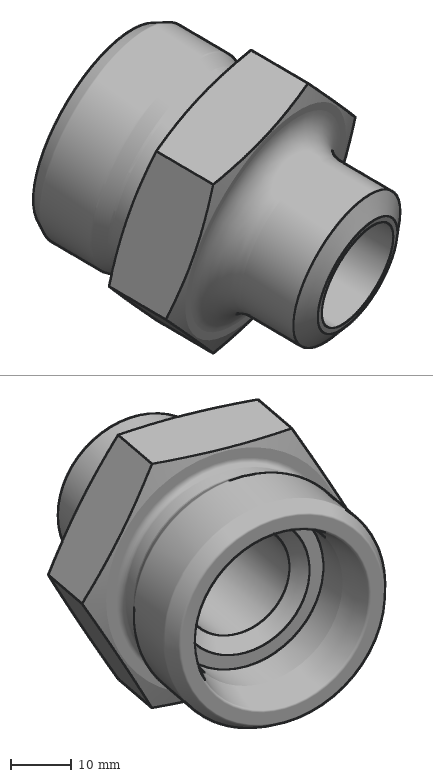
import cadquery as cq
import math

total_length = 53.0

thread_diameter = 42.0
relief_diameter = 38.9
thread_chamfer_angle = 30
thread_end = 13.3
rim_round = 0.5
crest_round = 0.7
foot_round = 1.0
relief_fillet = 1.15

hex_corner_diameter = 53.1
hex_start = 20.0
hex_end = 34.0
hex_chamfer_diameter = 45.05
hex_chamfer_angle = 15

spigot_diameter = 30.0
spigot_tip_diameter = 22.3
spigot_bevel_angle = 30
shoulder_radius = 6.0

through_diameter = 20.0
socket_diameter = 30.2
cone_mouth_diameter = 33.1
cone_half_angle = 12
mouth_round = 0.5
socket_depth = 13.5
lead_in_diameter = 24.95
lead_in_angle = 45


def tan_deg(angle):
    return math.tan(math.radians(angle))


def revolve_about_x(profile):
    """Revolve a profile drawn as (axial position, radius) about the X axis."""
    return profile.close().revolve(360, (0, 0, 0), (1, 0, 0))


def circle_at(position):
    """Select the circles lying in the plane at an axial position."""
    tolerance = 0.005
    reach = hex_corner_diameter
    return cq.selectors.BoxSelector(
        (position - tolerance, -reach, -reach),
        (position + tolerance, reach, reach),
        boundingbox=False,
    )


def make_threaded_end():
    thread_radius = thread_diameter / 2
    relief_radius = relief_diameter / 2
    chamfer_length = (thread_radius - relief_radius) / tan_deg(thread_chamfer_angle)
    relief_start = thread_end + chamfer_length
    body = revolve_about_x(
        cq.Workplane("XY")
        .moveTo(0, 0)
        .lineTo(0, relief_radius)
        .lineTo(chamfer_length, thread_radius)
        .lineTo(thread_end, thread_radius)
        .lineTo(relief_start, relief_radius)
        .lineTo(hex_start, relief_radius)
        .lineTo(hex_start, 0)
    )
    rounds = [
        (0, rim_round),
        (chamfer_length, crest_round),
        (thread_end, crest_round),
        (relief_start, foot_round),
    ]
    for position, radius in rounds:
        body = body.edges(circle_at(position)).fillet(radius)
    return body


def make_hexagon():
    hex_length = hex_end - hex_start
    prism = (
        cq.Workplane("YZ", origin=(hex_start, 0, 0))
        .polygon(6, hex_corner_diameter)
        .extrude(hex_length)
    )
    corner_radius = hex_corner_diameter / 2
    face_radius = hex_chamfer_diameter / 2
    chamfer_length = (corner_radius - face_radius) * tan_deg(hex_chamfer_angle)
    envelope = revolve_about_x(
        cq.Workplane("XY")
        .moveTo(hex_start, 0)
        .lineTo(hex_start, face_radius)
        .lineTo(hex_start + chamfer_length, corner_radius)
        .lineTo(hex_end - chamfer_length, corner_radius)
        .lineTo(hex_end, face_radius)
        .lineTo(hex_end, 0)
    )
    return prism.intersect(envelope)


def make_relief_fillet():
    relief_radius = relief_diameter / 2
    bend = relief_fillet * math.sqrt(0.5)
    return revolve_about_x(
        cq.Workplane("XY")
        .moveTo(hex_start - relief_fillet, 0)
        .lineTo(hex_start - relief_fillet, relief_radius)
        .threePointArc(
            (hex_start - relief_fillet + bend, relief_radius + relief_fillet - bend),
            (hex_start, relief_radius + relief_fillet),
        )
        .lineTo(hex_start, 0)
    )


def make_weld_end():
    spigot_radius = spigot_diameter / 2
    tip_radius = spigot_tip_diameter / 2
    bevel_length = (spigot_radius - tip_radius) * tan_deg(spigot_bevel_angle)
    bend = shoulder_radius * math.sqrt(0.5)
    return revolve_about_x(
        cq.Workplane("XY")
        .moveTo(hex_end, 0)
        .lineTo(hex_end, spigot_radius + shoulder_radius)
        .threePointArc(
            (hex_end + shoulder_radius - bend, spigot_radius + shoulder_radius - bend),
            (hex_end + shoulder_radius, spigot_radius),
        )
        .lineTo(total_length - bevel_length, spigot_radius)
        .lineTo(total_length, tip_radius)
        .lineTo(total_length, 0)
    )


def make_bore():
    """Through hole, tube socket with a conical mouth, and the lead-in between them."""
    socket_radius = socket_diameter / 2
    cone_radius = cone_mouth_diameter / 2
    through_radius = through_diameter / 2
    lead_in_radius = lead_in_diameter / 2
    cone_length = (cone_radius - socket_radius) / tan_deg(cone_half_angle)
    lead_in_length = (lead_in_radius - through_radius) / tan_deg(lead_in_angle)
    return revolve_about_x(
        cq.Workplane("XY")
        .moveTo(0, 0)
        .lineTo(0, cone_radius)
        .lineTo(cone_length, socket_radius)
        .lineTo(socket_depth, socket_radius)
        .lineTo(socket_depth, lead_in_radius)
        .lineTo(socket_depth + lead_in_length, through_radius)
        .lineTo(total_length, through_radius)
        .lineTo(total_length, 0)
    )


body = make_threaded_end().union(make_relief_fillet()).union(make_hexagon()).union(make_weld_end())
bored = body.cut(make_bore())

mouth = cq.selectors.RadiusNthSelector(0)
result = bored.faces("<X").edges(mouth).fillet(mouth_round)